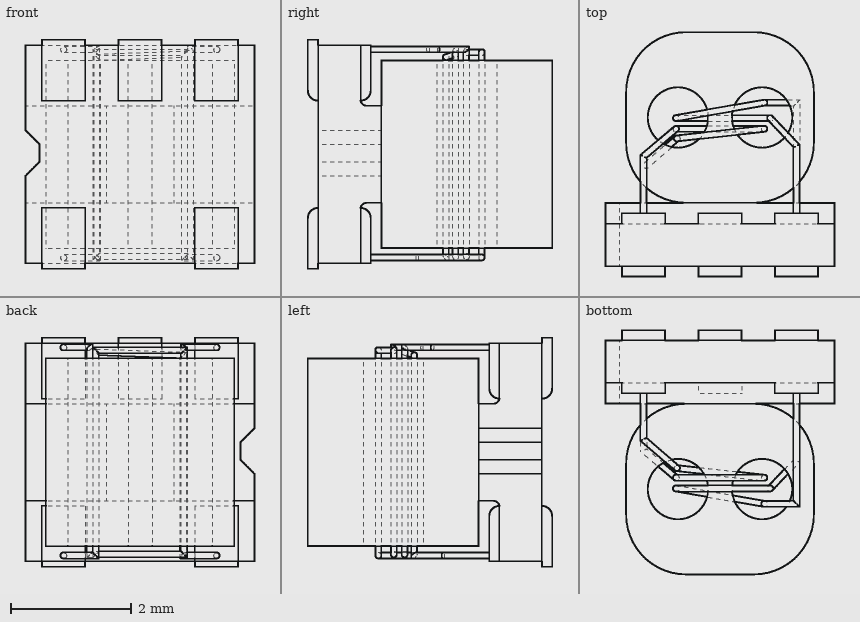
import cadquery as cq

total_depth = 4.06

base_width = 3.81
base_height = 3.62
plate_depth = 0.705
ridge_depth = 1.05
ridge_height = 1.615
ridge_fillet = 0.1

notch_depth = 0.23
notch_bottom_height = 0.295
notch_center_z = 0.02

terminal_width = 0.72
terminal_pitch = 1.27
terminal_thickness = 0.17
terminal_top = 1.905
terminal_end_z = 0.89

core_width = 3.122
core_depth = total_depth - ridge_depth - terminal_thickness
core_height = 3.12
core_corner_radius = 1.0
core_center_y = ridge_depth + core_depth / 2
hole_diameter = 1.0
hole_offset = 0.7

wire_diameter = 0.1
wire_end_y = plate_depth + terminal_thickness / 2
lower_wire_z = -1.695
lower_lead_z = -1.715
lead_z = 1.74
bridge_z = 1.695
sloped_bridge_left_z = 1.61
sloped_bridge_right_z = 1.665
left_wire_x = -0.73
right_wire_x = 0.735
outer_wire_x = -0.715
right_lead_wire_x = 0.832
lead_wire_y = 2.46
bridge_wire_y = 2.715
inner_wire_y = 2.28
outer_wire_y = 2.125
right_lead_bend_y = 1.998
left_lead_bend_y = 1.823
lower_lead_bend_y = 1.645


def make_base():
    """Block with its ridge, inner fillets and side notch."""
    plate = cq.Workplane("XY").box(
        base_width, plate_depth, base_height, centered=(True, False, True)
    )
    ridge = cq.Workplane("XY").box(
        base_width, ridge_depth, ridge_height, centered=(True, False, True)
    )
    reach = 0.04
    inner_corners = cq.selectors.BoxSelector(
        (-base_width, plate_depth - reach, -ridge_height / 2 - reach),
        (base_width, plate_depth + reach, ridge_height / 2 + reach),
    )
    block = plate.union(ridge).edges("|X").edges(inner_corners).fillet(ridge_fillet)

    side = -base_width / 2
    inner_half = notch_bottom_height / 2
    outer_half = inner_half + notch_depth
    notch = (
        cq.Workplane("XZ", origin=(0, 0, notch_center_z))
        .polyline([
            (side, -outer_half),
            (side + notch_depth, -inner_half),
            (side + notch_depth, inner_half),
            (side, outer_half),
        ])
        .close()
        .extrude(-ridge_depth)
    )
    return block.cut(notch)


def make_pad(x, inner_y, outward, top_z):
    """Upper pad growing outward (+1 or -1 along Y), with a quarter-round lower end."""
    outer_y = inner_y + outward * terminal_thickness
    return (
        cq.Workplane("YZ", origin=(x - terminal_width / 2, 0, 0))
        .moveTo(inner_y, terminal_end_z)
        .lineTo(inner_y, top_z)
        .lineTo(outer_y, top_z)
        .lineTo(outer_y, terminal_end_z + terminal_thickness)
        .tangentArcPoint((inner_y, terminal_end_z), relative=False)
        .close()
        .extrude(terminal_width)
    )


def make_terminal(x):
    """Upper terminal: a front pad and the pad behind the plate."""
    front_pad = make_pad(x, 0, -1, terminal_top)
    rear_pad = make_pad(x, plate_depth, 1, base_height / 2)
    return front_pad.union(rear_pad)


def make_core():
    """Rounded ferrite block with two through holes."""
    return (
        cq.Workplane("XY", origin=(0, core_center_y, 0))
        .box(core_width, core_depth, core_height)
        .edges("|Z")
        .fillet(core_corner_radius)
        .faces(">Z")
        .workplane()
        .pushPoints([(-hole_offset, 0), (hole_offset, 0)])
        .hole(hole_diameter)
    )


def make_winding(points):
    """Round wire with mitred bends that starts at a terminal and runs along +Y."""
    path = cq.Workplane("XY").polyline([cq.Vector(*point) for point in points])
    return (
        cq.Workplane("XZ", origin=points[0])
        .circle(wire_diameter / 2)
        .sweep(path, transition="right")
    )


left_winding_points = [
    (-terminal_pitch, wire_end_y, lead_z),
    (-terminal_pitch, left_lead_bend_y, lead_z),
    (left_wire_x, inner_wire_y, lead_z),
    (left_wire_x, inner_wire_y, lower_wire_z),
    (right_wire_x, inner_wire_y, lower_wire_z),
    (right_wire_x, inner_wire_y, sloped_bridge_right_z),
    (outer_wire_x, outer_wire_y, sloped_bridge_left_z),
    (outer_wire_x, outer_wire_y, lower_lead_z),
    (-terminal_pitch, lower_lead_bend_y, lower_lead_z),
    (-terminal_pitch, wire_end_y, lower_lead_z),
]
right_winding_points = [
    (terminal_pitch, wire_end_y, lead_z),
    (terminal_pitch, right_lead_bend_y, lead_z),
    (right_lead_wire_x, lead_wire_y, lead_z),
    (right_lead_wire_x, lead_wire_y, lower_wire_z),
    (left_wire_x, lead_wire_y, lower_wire_z),
    (left_wire_x, lead_wire_y, bridge_z),
    (right_wire_x, bridge_wire_y, bridge_z),
    (right_wire_x, bridge_wire_y, lower_lead_z),
    (terminal_pitch, bridge_wire_y, lower_lead_z),
    (terminal_pitch, wire_end_y, lower_lead_z),
]

result = make_base().union(make_core())
for terminal_x in (-terminal_pitch, 0, terminal_pitch):
    result = result.union(make_terminal(terminal_x))
for terminal_x in (-terminal_pitch, terminal_pitch):
    result = result.union(make_terminal(terminal_x).mirror("XY"))
for winding_points in (left_winding_points, right_winding_points):
    result = result.union(make_winding(winding_points))